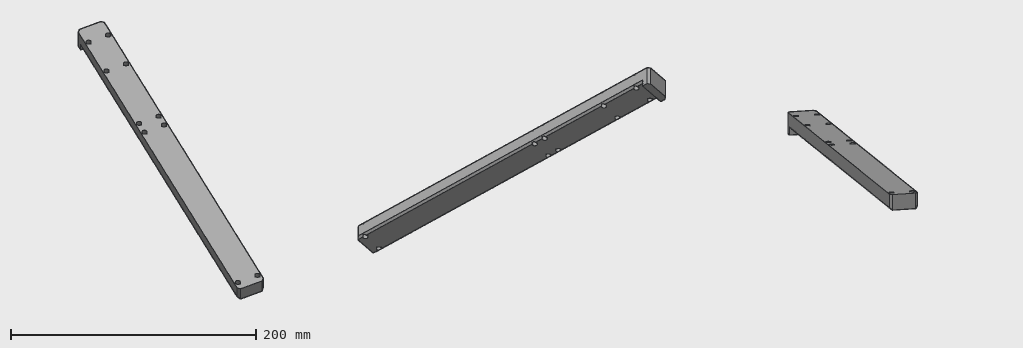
import cadquery as cq

length = 305.5
width = 23.8
total_height = 18.0

foot_length = 6.7
foot_drop = 5.0

corner_chamfer = 2.0
bottom_chamfer = 1.8

hole_diameter = 4.3
hole_spacing_y = 17.7
hole_distances_from_foot_end = [15.5, 49.5, 111.2, 121.5, 298.5]


def make_bar():
    """Bar and foot with the four upright corners chamfered."""
    block = (
        cq.Workplane("XY")
        .box(length, width, total_height, centered=(False, True, False))
        .edges("|Z")
        .chamfer(corner_chamfer)
    )
    underside_space = (
        cq.Workplane("XY")
        .box(length - foot_length, width, foot_drop, centered=(False, True, False))
        .translate((foot_length, 0, 0))
    )
    return block.cut(underside_space)


def make_bottom_chamfer_cutter(side):
    """Triangular prism breaking one long lower edge, from the foot to the +X end."""
    outer_y = side * width / 2
    return (
        cq.Workplane("YZ", origin=(foot_length, 0, 0))
        .moveTo(outer_y, foot_drop)
        .lineTo(outer_y - side * bottom_chamfer, foot_drop)
        .lineTo(outer_y, foot_drop + bottom_chamfer)
        .close()
        .extrude(length - foot_length)
    )


def make_hole_cutters():
    """Upright cylinders for every hole pair."""
    centres = [
        (x, side * hole_spacing_y / 2)
        for x in hole_distances_from_foot_end
        for side in (-1, 1)
    ]
    return cq.Workplane("XY").pushPoints(centres).circle(hole_diameter / 2).extrude(total_height)


result = make_bar()
for side in (-1, 1):
    result = result.cut(make_bottom_chamfer_cutter(side))
result = result.cut(make_hole_cutters())
result = result.translate((-length / 2, 0, 0))